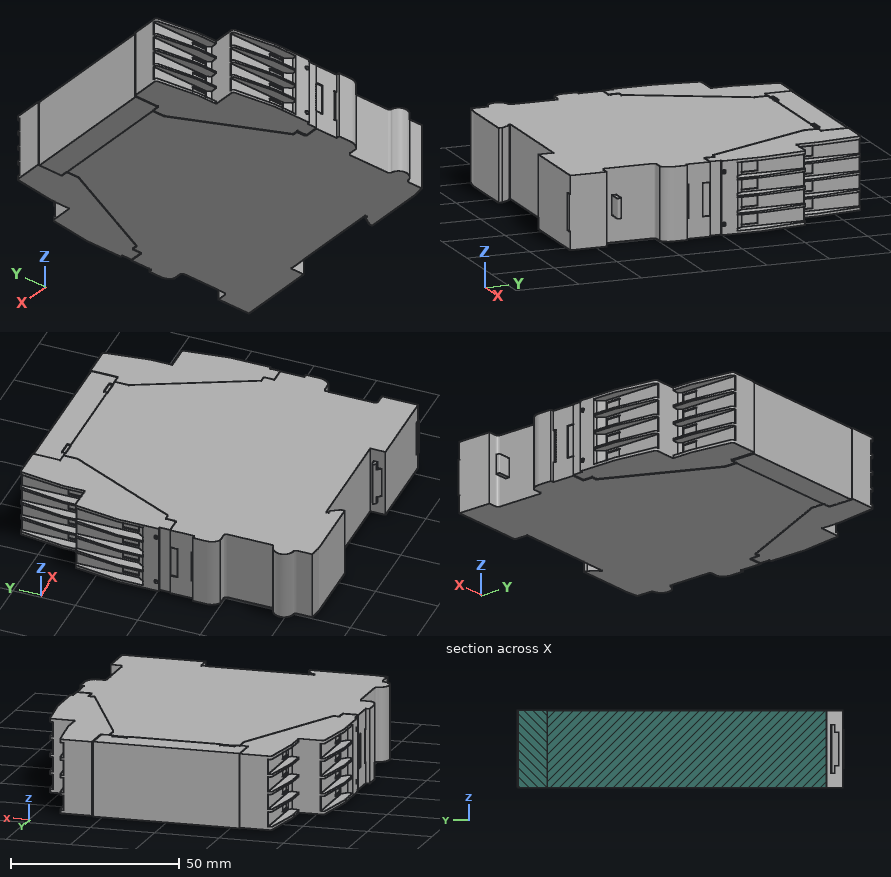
import cadquery as cq
import math


THICKNESS = 23.1
PROUD = 0.1
HOUSING_TOP = THICKNESS - PROUD
HEIGHT = 96.8

WAIST_X = 39.4
FLANK_X = 43.8
SHOULDER_X = 44.9
SHOULDER_TOP = 36.7
SHOULDER_BEND = 32.2
SHOULDER_BOTTOM = 28.6
SHOULDER_END_X = 43.0
SHOULDER_MID = (44.4, 30.1)
INNER_FILLET = 0.8

BUMP_Y = 9.6
BUMP_HALF = 3.2
BUMP_PEAK_X = 42.8
BUMP_BLEND = 0.9

FOOT_X = 43.2
FOOT_TOP = 11.6
FOOT_FILLET = 1.0
BEVEL_END_X = 35.4
BEVEL_RISE = 0.6
SLOT_TOP = 4.9
SLOT_LEFT_X = -17.9
SLOT_RIGHT_X = 17.2
HOOK_TOP = 4.1
HOOK_NOSE_TOP = 1.2
HOOK_ROOT_X = -17.0
HOOK_NOSE_X = -15.1

NECK_X = 20.3
NECK_BOTTOM = 83.5
DIAGONAL_X = 37.1
LEG_TOP = 47.75
LEG_X = 39.0
LEG_BOTTOM = 44.4
LEG_GAP = 0.3
LEG_GAP_BOTTOM = 44.9

BLOCK_BASE = 0.3
STEP_X = 9.8
STEP_Y = 21.4
UPPER_TOP_X = 32.8
UPPER_SIDE_X = 34.7
SIDE_BEND = 82.3
LEDGE_Y = HEIGHT - STEP_Y
CORNER_FILLET = 0.8

LANE_COUNT = 4
LANE_FLOOR_X = 31.8
LANE_FLOOR_END = 76.7
LANE_RAMP = 2.4
LANE_RAMP_RISE = 1.5
LANE_CHAMFER = 0.2
LANE_FLOOR_WIDTH = 4.5
LANE_WALL = 0.92
LANE_PITCH = LANE_FLOOR_WIDTH + LANE_WALL
LANE_DRAFT = 0.2
POCKET_LENGTH = 5.1
POCKET_WIDTH = 3.1
POCKET_DEPTH = 0.5
PIN_HOLE_DIAMETER = 1.2
PIN_HOLE_DEPTH = 1.0
PIN_HOLE_Y = 48.5

COVER_X = 22.9
COVER_GAP = 0.3
COVER_BOTTOM = 87.9
COVER_TOP = 96.5
NOTCH_CENTRE_X = 16.7
NOTCH_WIDTH = 4.6
NOTCH_HEIGHT = 1.2
NOTCH_DEPTH = 0.4

RECESS_WIDTH = 10.3
RECESS_DEPTH = 0.4
UPPER_RECESS_HEIGHT = 2.3
LOWER_RECESS_HEIGHT = 0.9

CATCH_TIP_X = 15.1
CATCH_TIP_Y = 3.3
CATCH_STEP_X = 16.0
CATCH_TOP = 3.7
CATCH_STEP_Y = 2.4
CATCH_SLOPE = (CATCH_TIP_Y - CATCH_STEP_Y) / (CATCH_STEP_X - CATCH_TIP_X)
CATCH_BOTTOM = CATCH_STEP_Y - CATCH_SLOPE * (SLOT_RIGHT_X - CATCH_STEP_X)
CATCH_WIDTH = 14.4
CATCH_RIB_WIDTH = 10.0
TAB_END_X = 44.0
TAB_Y = 15.4
TAB_THICKNESS = 1.4
TAB_WIDTH = 6.2
TAB_ROUNDING = 0.3
PAD_X = 41.5
PAD_WIDTH = 11.5
PAD_HEIGHT = 0.3

MID_Z = THICKNESS / 2
BLOCK_MID_Z = (BLOCK_BASE + THICKNESS) / 2
LANE_CENTRES = [BLOCK_MID_Z + (i - (LANE_COUNT - 1) / 2) * LANE_PITCH for i in range(LANE_COUNT)]


def box(x_range, y_range, z_range):
    """Axis-aligned box between the two given limits on each axis."""
    size = [high - low for low, high in (x_range, y_range, z_range)]
    corner = (x_range[0], y_range[0], z_range[0])
    return cq.Workplane("XY").box(*size, centered=False).translate(corner)


def centred(middle, width):
    return (middle - width / 2, middle + width / 2)


def housing_body():
    """Housing plate, drawn anticlockwise from the bevel at the lower left corner."""
    bump_root_x = WAIST_X + BUMP_BLEND
    bump_top = BUMP_Y + BUMP_HALF
    bump_bottom = BUMP_Y - BUMP_HALF
    blend_mid = BUMP_BLEND * (1 - math.sqrt(0.5))
    shoulder_inner_x = WAIST_X + INNER_FILLET
    shoulder_inner_y = SHOULDER_BOTTOM - INNER_FILLET
    return (
        cq.Workplane("XY")
        .moveTo(-WAIST_X, BEVEL_RISE)
        .lineTo(-BEVEL_END_X, 0)
        .lineTo(HOOK_NOSE_X, 0)
        .lineTo(HOOK_NOSE_X, HOOK_NOSE_TOP)
        .lineTo(HOOK_ROOT_X, HOOK_TOP)
        .lineTo(SLOT_LEFT_X, HOOK_TOP)
        .lineTo(SLOT_LEFT_X, SLOT_TOP)
        .lineTo(SLOT_RIGHT_X, SLOT_TOP)
        .lineTo(SLOT_RIGHT_X, 0)
        .lineTo(FOOT_X, 0)
        .lineTo(FOOT_X, FOOT_TOP)
        .lineTo(WAIST_X + FOOT_FILLET, FOOT_TOP)
        .tangentArcPoint((WAIST_X, FOOT_TOP + FOOT_FILLET), relative=False)
        .lineTo(WAIST_X, shoulder_inner_y)
        .tangentArcPoint((shoulder_inner_x, SHOULDER_BOTTOM), relative=False)
        .lineTo(SHOULDER_END_X, SHOULDER_BOTTOM)
        .threePointArc(SHOULDER_MID, (SHOULDER_X, SHOULDER_BEND))
        .lineTo(SHOULDER_X, SHOULDER_TOP)
        .lineTo(FLANK_X, SHOULDER_TOP)
        .lineTo(FLANK_X, LEG_BOTTOM)
        .lineTo(LEG_X, LEG_BOTTOM)
        .lineTo(LEG_X, LEG_TOP)
        .lineTo(DIAGONAL_X, LEG_TOP)
        .lineTo(NECK_X, NECK_BOTTOM)
        .lineTo(NECK_X, COVER_BOTTOM)
        .lineTo(-NECK_X, COVER_BOTTOM)
        .lineTo(-NECK_X, NECK_BOTTOM)
        .lineTo(-DIAGONAL_X, LEG_TOP)
        .lineTo(-LEG_X, LEG_TOP)
        .lineTo(-LEG_X, LEG_BOTTOM)
        .lineTo(-FLANK_X, LEG_BOTTOM)
        .lineTo(-FLANK_X, SHOULDER_TOP)
        .lineTo(-SHOULDER_X, SHOULDER_TOP)
        .lineTo(-SHOULDER_X, SHOULDER_BEND)
        .threePointArc((-SHOULDER_MID[0], SHOULDER_MID[1]), (-SHOULDER_END_X, SHOULDER_BOTTOM))
        .lineTo(-shoulder_inner_x, SHOULDER_BOTTOM)
        .tangentArcPoint((-WAIST_X, shoulder_inner_y), relative=False)
        .lineTo(-WAIST_X, bump_top + BUMP_BLEND)
        .tangentArcPoint((-bump_root_x, bump_top), relative=False)
        .threePointArc((-BUMP_PEAK_X, BUMP_Y), (-bump_root_x, bump_bottom))
        .threePointArc(
            (-WAIST_X - blend_mid, bump_bottom - blend_mid),
            (-WAIST_X, bump_bottom - BUMP_BLEND),
        )
        .close()
        .extrude(HOUSING_TOP)
    )


def flank_recesses(side):
    """Two shallow recesses in one flank: below the terminal leg and above the shoulder."""
    x_range = sorted((side * (FLANK_X - RECESS_DEPTH), side * FLANK_X))
    z_range = centred(MID_Z, RECESS_WIDTH)
    upper = box(x_range, (LEG_BOTTOM - UPPER_RECESS_HEIGHT, LEG_BOTTOM), z_range)
    lower = box(x_range, (SHOULDER_TOP, SHOULDER_TOP + LOWER_RECESS_HEIGHT), z_range)
    return upper.union(lower)


def leg_slit():
    return box((-LEG_X, LEG_GAP - LEG_X), (LEG_GAP_BOTTOM, LEG_TOP), (0, THICKNESS))


def rail_catch():
    """Wedge-shaped catch in the rail slot, with a narrower rib that continues its slope."""
    wedge_outline = [
        (SLOT_RIGHT_X, CATCH_TOP),
        (CATCH_STEP_X, CATCH_TOP),
        (CATCH_TIP_X, CATCH_TIP_Y),
        (CATCH_STEP_X, CATCH_STEP_Y),
        (SLOT_RIGHT_X, CATCH_STEP_Y),
    ]
    rib_outline = [
        (SLOT_RIGHT_X, CATCH_STEP_Y),
        (CATCH_STEP_X, CATCH_STEP_Y),
        (SLOT_RIGHT_X, CATCH_BOTTOM),
    ]
    middle = cq.Workplane("XY").workplane(offset=MID_Z)
    wedge = middle.polyline(wedge_outline).close().extrude(CATCH_WIDTH / 2, both=True)
    rib = middle.polyline(rib_outline).close().extrude(CATCH_RIB_WIDTH / 2, both=True)
    return wedge.union(rib).clean()


def pull_tab():
    tab = box((WAIST_X, TAB_END_X), centred(TAB_Y, TAB_THICKNESS), centred(MID_Z, TAB_WIDTH))
    return tab.edges(">X and |Z").fillet(TAB_ROUNDING)


def foot_pad():
    return box((PAD_X, FOOT_X), (-PAD_HEIGHT, 0), centred(MID_Z, PAD_WIDTH))


def make_housing():
    housing = housing_body().cut(leg_slit())
    for side in (-1, 1):
        housing = housing.cut(flank_recesses(side))
    return housing.union(rail_catch()).union(pull_tab()).union(foot_pad())


def block_body():
    """Left terminal block before its lanes are cut."""
    outline = [
        (-COVER_X, HEIGHT),
        (-UPPER_TOP_X, HEIGHT),
        (-UPPER_SIDE_X, SIDE_BEND),
        (-UPPER_SIDE_X, LEDGE_Y),
        (-UPPER_TOP_X - STEP_X, LEDGE_Y),
        (-UPPER_SIDE_X - STEP_X, SIDE_BEND - STEP_Y),
        (-UPPER_SIDE_X - STEP_X, LEG_TOP),
        (-FLANK_X, LEG_TOP),
        (-FLANK_X, LEG_BOTTOM),
        (-LEG_X, LEG_BOTTOM),
        (-LEG_X, LEG_TOP),
        (-DIAGONAL_X, LEG_TOP),
        (-NECK_X, NECK_BOTTOM),
        (-NECK_X, COVER_BOTTOM),
        (-COVER_X, COVER_BOTTOM),
    ]
    body = (
        cq.Workplane("XY").workplane(offset=BLOCK_BASE)
        .polyline(outline).close()
        .extrude(THICKNESS - BLOCK_BASE)
    )
    for row in range(2):
        corner = (-UPPER_TOP_X - row * STEP_X, HEIGHT - row * STEP_Y, BLOCK_MID_Z)
        body = body.edges(cq.selectors.NearestToPointSelector(corner)).fillet(CORNER_FILLET)
    return body


def lane_cutter(centre_z):
    """Upper-row lane: flat floor, step and ramp at its lower end, drafted walls and a wire pocket."""
    side_x = -UPPER_SIDE_X
    floor_x = -LANE_FLOOR_X
    chamfer_x = floor_x + LANE_CHAMFER
    ramp_end = LANE_FLOOR_END - LANE_RAMP
    profile = (
        cq.Workplane("XY")
        .polyline([
            (chamfer_x, HEIGHT),
            (side_x, HEIGHT),
            (side_x, ramp_end),
            (floor_x - LANE_RAMP_RISE, ramp_end),
            (floor_x, LANE_FLOOR_END),
            (floor_x, HEIGHT - LANE_CHAMFER),
        ])
        .close()
        .extrude(THICKNESS)
    )
    half_floor = LANE_FLOOR_WIDTH / 2
    half_mouth = half_floor + LANE_DRAFT
    drafted = (
        cq.Workplane("XZ", origin=(0, HEIGHT, 0))
        .polyline([
            (chamfer_x, centre_z - half_floor),
            (side_x, centre_z - half_mouth),
            (side_x, centre_z + half_mouth),
            (chamfer_x, centre_z + half_floor),
        ])
        .close()
        .extrude(HEIGHT - ramp_end)
    )
    pocket = box(
        (floor_x, floor_x + POCKET_DEPTH),
        (LANE_FLOOR_END, LANE_FLOOR_END + POCKET_LENGTH),
        centred(centre_z, POCKET_WIDTH),
    )
    return profile.intersect(drafted).union(pocket)


def pin_hole(centre_z):
    return (
        cq.Workplane("YZ", origin=(-UPPER_SIDE_X - STEP_X, PIN_HOLE_Y, centre_z))
        .circle(PIN_HOLE_DIAMETER / 2)
        .extrude(PIN_HOLE_DEPTH)
    )


def make_left_block():
    block = block_body()
    above_ledge = box((-UPPER_SIDE_X, 0), (LEDGE_Y, HEIGHT), (0, THICKNESS))
    for centre_z in LANE_CENTRES:
        lane = lane_cutter(centre_z)
        block = block.cut(lane.intersect(above_ledge))
        block = block.cut(lane.translate((-STEP_X, -STEP_Y, 0)))
    for centre_z in (LANE_CENTRES[0], LANE_CENTRES[-1]):
        block = block.cut(pin_hole(centre_z))
    return block


def make_cover():
    cover = box((-COVER_X, COVER_X - COVER_GAP), (COVER_BOTTOM, COVER_TOP), (0, THICKNESS))
    for side in (-1, 1):
        cover = cover.cut(box(
            centred(side * NOTCH_CENTRE_X, NOTCH_WIDTH),
            (COVER_BOTTOM, COVER_BOTTOM + NOTCH_HEIGHT),
            (THICKNESS - NOTCH_DEPTH, THICKNESS),
        ))
    return cover


housing = make_housing()
left_block = make_left_block()
right_block = left_block.mirror("YZ")
cover = make_cover()

result = cq.Compound.makeCompound([
    housing.solids().val(),
    left_block.solids().val(),
    right_block.solids().val(),
    cover.solids().val(),
])